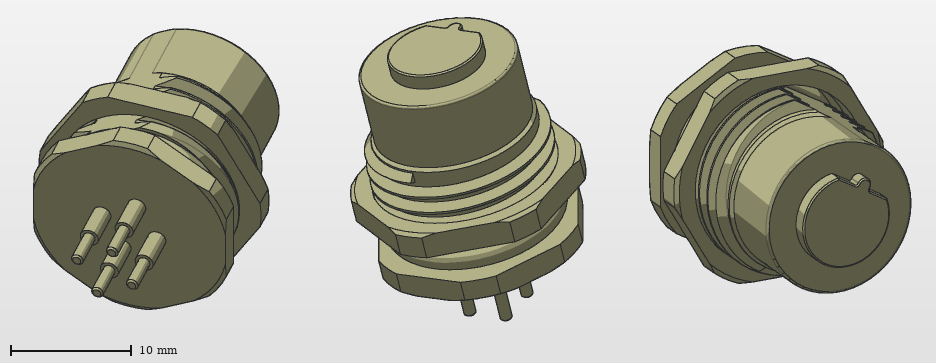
import cadquery as cq
import math


OVERALL_LENGTH = 25.5

FLANGE_TOP = 2.01
SEAL_TUBE_RADIUS = 1.0
SEAL_TOP = FLANGE_TOP + 2 * SEAL_TUBE_RADIUS
THREAD_BOTTOM = 4.15
NUT_BOTTOM = 5.02
NUT_TOP = 7.22
RIDGE_TOP = 11.53
THREAD_TOP = 11.7
SHELL_TOP = 18.0
INSERT_TOP = 19.33
PIN_SHOULDER = -3.1
PIN_TIP = INSERT_TOP - OVERALL_LENGTH

FLANGE_FLAT_DISTANCE = 8.45
FLANGE_CORNER_RADIUS = 9.0
FLANGE_FACE_RADIUS = 8.6

SEAL_CENTER_RADIUS = 6.73
NECK_RADIUS = 6.5

SHELL_RADIUS = 6.73
SHELL_EDGE_FILLET = 0.2
ROOT_RADIUS = 7.0
CREST_RADIUS = 7.88
THREAD_PITCH = 1.5
THREAD_BASE_WIDTH = 1.12
THREAD_CREST_WIDTH = 0.2
THREAD_SINK = 0.13
FIRST_CREST = 10.91
LEAD_IN_ANGLE = 60
THREAD_TURNS = 4.8
END_CHAMFER = 0.55
ENVELOPE_CLEARANCE = 0.25

KEY_ANGLE = 120
SHELL_FLAT_DISTANCE = 6.63

INSERT_RADIUS = 4.03
INSERT_FLAT_DISTANCE = 3.09
INSERT_EDGE_CHAMFER = 0.13
KEY_RADIUS = 0.6
KEY_CENTER_DISTANCE = 3.37
KEY_ROOT_FILLET = 0.2
SELECTION_MARGIN = 0.03

PIN_COUNT = 4
PIN_CIRCLE_RADIUS = 2.5
PIN_FIRST_ANGLE = 75
PIN_RADIUS = 0.8
PIN_TIP_RADIUS = 0.5
PIN_TIP_CHAMFER = 0.15

NUT_FLAT_DISTANCE = 18.03 / 2
NUT_CORNER_RADIUS = 19.5 / 2
NUT_FACE_RADIUS = 9.35
NUT_BORE_RADIUS = CREST_RADIUS

HEX_CHAMFER_HEIGHT = 0.23


def disc(radius, bottom, top, x=0, z=0):
    """Cylinder along Y between two stations."""
    return cq.Workplane("XZ", origin=(x, top, z)).circle(radius).extrude(top - bottom)


def turned(points):
    """Solid of revolution about Y from a closed outline of (radius, station) points."""
    return cq.Workplane("XY").polyline(points).close().revolve(360, (0, 0, 0), (0, 1, 0))


def hexagon(flat_distance, bottom, top):
    """Hexagonal prism along Y with two corners on the X axis."""
    corner_diameter = 2 * flat_distance / math.cos(math.pi / 6)
    return cq.Workplane("XZ", origin=(0, top, 0)).polygon(6, corner_diameter).extrude(top - bottom)


def flat_block(distance, bottom, top):
    """Block that removes everything beyond a plane at the given distance along +X."""
    width = 2 * CREST_RADIUS
    return (
        cq.Workplane("XY")
        .box(width, top - bottom, width, centered=(False, False, True))
        .translate((distance, bottom, 0))
    )


def flange():
    corners = turned([
        (0, 0),
        (FLANGE_FACE_RADIUS, 0),
        (FLANGE_CORNER_RADIUS, HEX_CHAMFER_HEIGHT),
        (FLANGE_CORNER_RADIUS, FLANGE_TOP),
        (0, FLANGE_TOP),
    ])
    prism = hexagon(FLANGE_FLAT_DISTANCE, 0, FLANGE_TOP).rotate((0, 0, 0), (0, 1, 0), 30)
    return prism.intersect(corners)


def neck_with_seal():
    seal_middle = (SEAL_CENTER_RADIUS + SEAL_TUBE_RADIUS, FLANGE_TOP + SEAL_TUBE_RADIUS)
    return (
        cq.Workplane("XY")
        .moveTo(0, FLANGE_TOP)
        .lineTo(SEAL_CENTER_RADIUS, FLANGE_TOP)
        .threePointArc(seal_middle, (SEAL_CENTER_RADIUS, SEAL_TOP))
        .lineTo(NECK_RADIUS, SEAL_TOP)
        .lineTo(NECK_RADIUS, THREAD_BOTTOM)
        .lineTo(0, THREAD_BOTTOM)
        .close()
        .revolve(360, (0, 0, 0), (0, 1, 0))
    )


def thread_ridge():
    """Right-hand thread ridge, sunk a little into the core and chamfered at both ends."""
    flank_slope = (THREAD_BASE_WIDTH - THREAD_CREST_WIDTH) / 2 / (CREST_RADIUS - ROOT_RADIUS)
    half_base = THREAD_BASE_WIDTH / 2 + THREAD_SINK * flank_slope
    half_crest = THREAD_CREST_WIDTH / 2
    inner_radius = ROOT_RADIUS - THREAD_SINK
    helix = cq.Wire.makeHelix(THREAD_PITCH, THREAD_TURNS * THREAD_PITCH, ROOT_RADIUS)
    ridge = (
        cq.Workplane("XZ")
        .polyline([
            (inner_radius, -half_base),
            (CREST_RADIUS, -half_crest),
            (CREST_RADIUS, half_crest),
            (inner_radius, half_base),
        ])
        .close()
        .sweep(cq.Workplane(helix), isFrenet=True)
    )
    start = FIRST_CREST + THREAD_PITCH * LEAD_IN_ANGLE / 360
    ridge = (
        ridge.rotate((0, 0, 0), (0, 0, 1), -LEAD_IN_ANGLE)
        .rotate((0, 0, 0), (1, 0, 0), 90)
        .translate((0, start, 0))
    )
    outer_radius = CREST_RADIUS + ENVELOPE_CLEARANCE
    envelope = turned([
        (0, THREAD_BOTTOM),
        (CREST_RADIUS - END_CHAMFER, THREAD_BOTTOM),
        (outer_radius, THREAD_BOTTOM + END_CHAMFER + ENVELOPE_CLEARANCE),
        (outer_radius, RIDGE_TOP - (outer_radius - ROOT_RADIUS)),
        (ROOT_RADIUS, RIDGE_TOP),
        (0, RIDGE_TOP),
    ])
    return ridge.intersect(envelope)


def shell():
    core = turned([
        (0, THREAD_BOTTOM),
        (ROOT_RADIUS, THREAD_BOTTOM),
        (ROOT_RADIUS, THREAD_TOP),
        (SHELL_RADIUS, THREAD_TOP + ROOT_RADIUS - SHELL_RADIUS),
        (SHELL_RADIUS, SHELL_TOP),
        (0, SHELL_TOP),
    ]).faces(">Y").edges().fillet(SHELL_EDGE_FILLET)
    core = core.rotate((0, 0, 0), (0, 1, 0), 180)
    flat_cutter = flat_block(SHELL_FLAT_DISTANCE, THREAD_BOTTOM, SHELL_TOP)
    flat_cutter = flat_cutter.rotate((0, 0, 0), (0, 1, 0), -KEY_ANGLE)
    return core.union(thread_ridge()).cut(flat_cutter)


def insert():
    """Round insert whose flat carries a round-nosed key; modelled with the key along +X."""
    flat_cutter = flat_block(INSERT_FLAT_DISTANCE, SHELL_TOP, INSERT_TOP)
    key_web = (
        cq.Workplane("XY")
        .box(KEY_CENTER_DISTANCE, INSERT_TOP - SHELL_TOP, 2 * KEY_RADIUS, centered=(False, False, True))
        .translate((0, SHELL_TOP, 0))
    )
    key_nose = disc(KEY_RADIUS, SHELL_TOP, INSERT_TOP, x=KEY_CENTER_DISTANCE)
    key_roots = cq.selectors.BoxSelector(
        (INSERT_FLAT_DISTANCE - SELECTION_MARGIN, SHELL_TOP, -KEY_RADIUS - SELECTION_MARGIN),
        (INSERT_FLAT_DISTANCE + SELECTION_MARGIN, INSERT_TOP, KEY_RADIUS + SELECTION_MARGIN),
    )
    body = (
        disc(INSERT_RADIUS, SHELL_TOP, INSERT_TOP)
        .cut(flat_cutter)
        .union(key_web)
        .union(key_nose)
        .edges(key_roots)
        .fillet(KEY_ROOT_FILLET)
        .faces(">Y")
        .edges()
        .chamfer(INSERT_EDGE_CHAMFER)
    )
    return body.rotate((0, 0, 0), (0, 1, 0), -KEY_ANGLE)


def pin(angle):
    x = PIN_CIRCLE_RADIUS * math.cos(math.radians(angle))
    z = PIN_CIRCLE_RADIUS * math.sin(math.radians(angle))
    tip = disc(PIN_TIP_RADIUS, PIN_TIP, PIN_SHOULDER, x, z).faces("<Y").edges().chamfer(PIN_TIP_CHAMFER)
    return disc(PIN_RADIUS, PIN_SHOULDER, 0, x, z).union(tip)


def connector():
    body = flange().union(neck_with_seal()).union(shell()).union(insert())
    for index in range(PIN_COUNT):
        body = body.union(pin(PIN_FIRST_ANGLE + index * 360 / PIN_COUNT))
    return body


def lock_nut():
    corners = turned([
        (NUT_BORE_RADIUS, NUT_BOTTOM),
        (NUT_CORNER_RADIUS, NUT_BOTTOM),
        (NUT_CORNER_RADIUS, NUT_TOP - HEX_CHAMFER_HEIGHT),
        (NUT_FACE_RADIUS, NUT_TOP),
        (NUT_BORE_RADIUS, NUT_TOP),
    ])
    return hexagon(NUT_FLAT_DISTANCE, NUT_BOTTOM, NUT_TOP).intersect(corners)


housing = connector()
nut = lock_nut()
result = cq.Compound.makeCompound([housing.solids().val(), nut.solids().val()])